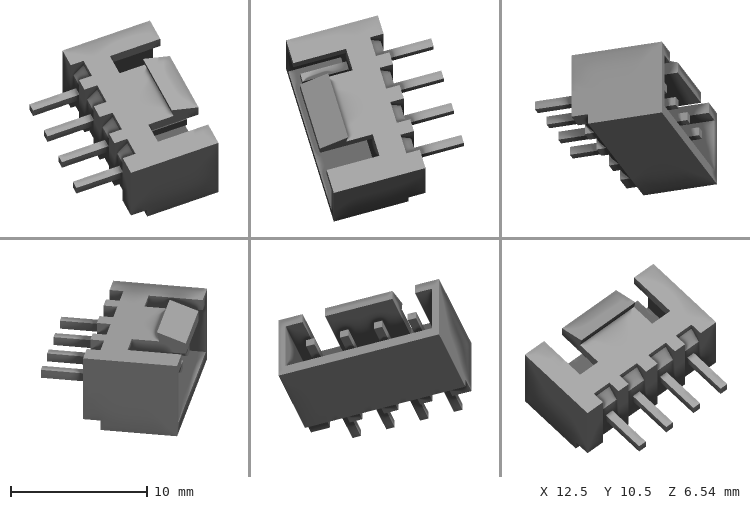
import cadquery as cq

WIDTH = 12.5
DEPTH = 7
HEIGHT = 5.8
TOTAL_HEIGHT = 6.54
BACK_Y = 0
MATING_Y = BACK_Y + DEPTH

STEP_DEPTH = 1.3
STEP_HEIGHT = 0.78

SIDE_WALL = 0.55
ROOF = 0.84
FLOOR = ROOF
CAVITY_DEPTH = 4.02

TONGUE_WIDTH = 5.25
NOTCH_WIDTH = 1.75
NOTCH_DEPTH = CAVITY_DEPTH
TOOTH_LENGTH = 2.15
TOOTH_BASE = 2

PIN_COUNT = 4
PIN_PITCH = 2.64
PIN_SIZE = 0.65
PIN_Z = 3.19
PIN_TIP_GAP = 0.5
PIN_TAIL = 3.5
PIN_LENGTH = PIN_TAIL + DEPTH - PIN_TIP_GAP

OUTER_RECESS = (3.99, 1.52)
INNER_RECESS = (1.4, 1.7)
RECESS_DEPTH = 0.22
RECESS_BEVEL = 0.8
RECESS_LIP = 0.5
LOWER_BEVEL = 0.52


def box(x_size, y_size, z_size, x_mid, y_min, z_min):
    """Box centred on x_mid, rising from y_min and z_min."""
    solid = cq.Workplane("XY").box(x_size, y_size, z_size, centered=(True, False, False))
    return solid.translate((x_mid, y_min, z_min))


def side_prism(points, width, x_mid=0):
    """(Y, Z) outline extruded in X, centred on x_mid."""
    prism = cq.Workplane("YZ").polyline(points).close().extrude(width / 2, both=True)
    return prism.translate((x_mid, 0, 0))


def make_recess(x_mid, width):
    """Shallow back recess with a deep upper bevel and an undercut lower bevel."""
    face_y = BACK_Y + RECESS_DEPTH
    lip_z = HEIGHT - RECESS_LIP
    outline = [
        (BACK_Y, STEP_HEIGHT),
        (face_y + LOWER_BEVEL, STEP_HEIGHT),
        (face_y, STEP_HEIGHT + LOWER_BEVEL),
        (face_y, lip_z - RECESS_BEVEL),
        (face_y + RECESS_BEVEL, lip_z),
        (face_y + RECESS_BEVEL, HEIGHT),
        (BACK_Y, HEIGHT),
    ]
    return side_prism(outline, width, x_mid)


def make_tooth():
    """Latch ramp on the tongue, with a slightly undercut catch face."""
    outline = [
        (MATING_Y, HEIGHT),
        (MATING_Y - TOOTH_LENGTH, TOTAL_HEIGHT),
        (MATING_Y - TOOTH_BASE, HEIGHT),
    ]
    return side_prism(outline, TONGUE_WIDTH)


def make_pin(x_mid):
    """Square pin running from the tail through the back wall into the cavity."""
    return box(PIN_SIZE, PIN_LENGTH, PIN_SIZE, x_mid, BACK_Y - PIN_TAIL, PIN_Z - PIN_SIZE / 2)


def make_housing(pins):
    """Shroud with cavity, latch, back recesses and a matching hole for each pin."""
    body = box(WIDTH, DEPTH, HEIGHT, 0, BACK_Y, 0)
    body = body.cut(box(WIDTH, STEP_DEPTH, STEP_HEIGHT, 0, BACK_Y, 0))
    cavity_width = WIDTH - 2 * SIDE_WALL
    cavity_height = HEIGHT - ROOF - FLOOR
    body = body.cut(box(cavity_width, CAVITY_DEPTH, cavity_height, 0, MATING_Y - CAVITY_DEPTH, FLOOR))
    notch_x = (TONGUE_WIDTH + NOTCH_WIDTH) / 2
    for side in (-1, 1):
        notch = box(NOTCH_WIDTH, NOTCH_DEPTH, ROOF, side * notch_x, MATING_Y - NOTCH_DEPTH, HEIGHT - ROOF)
        body = body.cut(notch)
        for distance, width in (OUTER_RECESS, INNER_RECESS):
            body = body.cut(make_recess(side * distance, width))
    body = body.union(make_tooth())
    for pin in pins:
        body = body.cut(pin)
    return body


pins = [make_pin((index - (PIN_COUNT - 1) / 2) * PIN_PITCH) for index in range(PIN_COUNT)]
housing = make_housing(pins)

result = cq.Compound.makeCompound([housing.val(), *[pin.val() for pin in pins]])